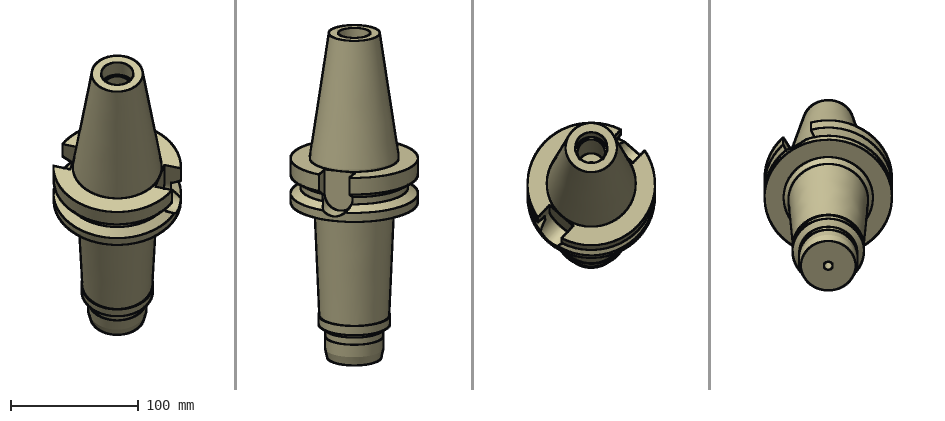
import cadquery as cq

total_height = 267.5
gauge_z = 166.0
flange_top_z = 164.3
flange_bottom_z = 128.0

gauge_diameter = 69.8
gauge_radius = gauge_diameter / 2
taper_ratio = 7 / 24
taper_tip_radius = gauge_radius - (total_height - gauge_z) * taper_ratio / 2

flange_radius = 50.0
groove_radius = 42.3
upper_rim_bottom_z = 150.7
groove_top_z = 145.8
groove_bottom_z = 140.0
lower_rim_top_z = 135.5

neck_top_radius = 35.0
neck_z = 123.0
body_top_radius = 31.3
body_bottom_radius = 27.5

collar_radius = 28.0
collar_top_z = 34.8
collar_bottom_z = 27.3
nose_radius = 23.0
nose_top_z = 23.5
nose_step_z = 17.7
nose_step = 0.13
nose_tip_radius = 21.5
nose_chamfer_height = 7.2

entry_radius = 12.5
entry_depth = 13.6
draw_bore_radius = 10.7
draw_bore_depth = 53.5
coolant_radius = 3.5

slot_width = 25.2
slot_bottom_z = 131.7
slot_floor_x = 34.8


def make_turned_body():
    outline = [
        (0, 0),
        (nose_tip_radius, 0),
        (nose_radius, nose_chamfer_height),
        (nose_radius, nose_step_z),
        (nose_radius - nose_step, nose_step_z),
        (nose_radius - nose_step, nose_top_z),
        (collar_radius, collar_bottom_z),
        (collar_radius, collar_top_z),
        (body_bottom_radius, collar_top_z),
        (body_top_radius, neck_z),
        (neck_top_radius, flange_bottom_z),
        (flange_radius, flange_bottom_z),
        (flange_radius, lower_rim_top_z),
        (groove_radius, groove_bottom_z),
        (groove_radius, groove_top_z),
        (flange_radius, upper_rim_bottom_z),
        (flange_radius, flange_top_z),
        (gauge_radius, flange_top_z),
        (gauge_radius, gauge_z),
        (taper_tip_radius, total_height),
        (0, total_height),
    ]
    return cq.Workplane("XZ").polyline(outline).close().revolve(360, (0, 0), (0, 1))


def make_bores():
    top_plane = cq.Workplane("XY").workplane(offset=total_height)
    entry = top_plane.circle(entry_radius).extrude(-entry_depth)
    draw_bore = top_plane.circle(draw_bore_radius).extrude(-draw_bore_depth)
    coolant = top_plane.circle(coolant_radius).extrude(-total_height)
    return entry.union(draw_bore).union(coolant)


def make_drive_slot(side):
    """Round-bottomed radial slot, open at the flange top; side is +1 or -1 along X."""
    half_width = slot_width / 2
    arc_center_z = slot_bottom_z + half_width
    return (
        cq.Workplane("YZ", origin=(side * slot_floor_x, 0, 0))
        .moveTo(-half_width, flange_top_z)
        .lineTo(-half_width, arc_center_z)
        .threePointArc((0, slot_bottom_z), (half_width, arc_center_z))
        .lineTo(half_width, flange_top_z)
        .close()
        .extrude(side * flange_radius)
    )


result = make_turned_body().cut(make_bores())
for side in (-1, 1):
    result = result.cut(make_drive_slot(side))